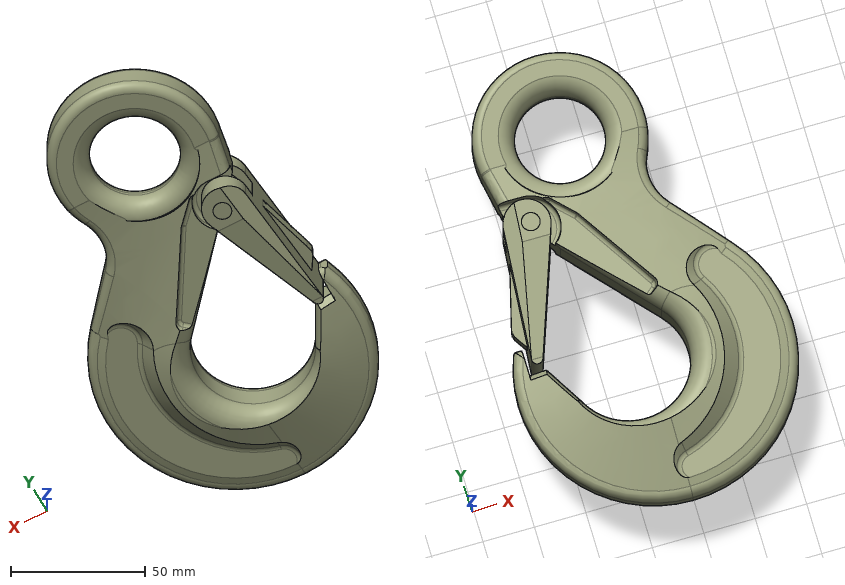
import cadquery as cq
import math


EYE = (0, 90.3)
EYE_RADIUS = 32.9
EYE_HOLE_RADIUS = 34.0 / 2
EYE_HALF_THICKNESS = 8.0
NECK_TOP_Y = 85.0
NECK_HALF_WIDTH = 43.2
EYE_HOLE_ROUNDING = 7.2
EYE_HOLE_STRAIGHT = 0.81
BOWL_RADIUS = 23.4
LOWEST_Y = -56.6
CROWN_X = 8.6
RIGHT_RADIUS = 54.94
LEFT_RADIUS = 52.42
BACK = (CROWN_X, LOWEST_Y + RIGHT_RADIUS)
FRONT = (CROWN_X, LOWEST_Y + LEFT_RADIUS)
WAIST = (47.1, 67.5)
THROAT_ANGLE = 41.5
THROAT_LENGTH = 54
POINT_ANGLE = 209
POINT_LENGTH = 54

MAX_HALF_THICKNESS = 13.3
RIM_HALF_THICKNESS = 5.4
WEDGE_SLOPE = 0.29
RIM_ROUNDING = 3.6
INSIDE_ROUNDING = 8.1
NECK_INNER_REACH = 14.4
NECK_OUTER_REACH = 61.1

TIP_TOP = 15.8
TIP_X = -37.8
TIP_ROUNDING = 3.6
POINT_TILT = 9
NOTCH_X = -36.9
NOTCH_Y = 5.2
NOTCH_CHAMFER = 2.3

PIVOT = (-20.3, 59.7)
PIN_RADIUS = 7.0 / 2
KNUCKLE_RADIUS = 7.0
KNUCKLE_HALF_THICKNESS = 3.8
CLEARANCE_RADIUS = 11.3

RECESS_TOP = (-12.5, 68.7)
RECESS_CORNER = (-2.9, 58.6)
RECESS_FOOT = (18.3, 24.3)
RECESS_OVERRUN = 14.4
RECESS_FLOOR = 7.0
RECESS_TILT = 3.0
RECESS_WALL_ANGLE = 20
RECESS_CORNER_RADIUS = 2.2
RECESS_ROUNDING = 1.6

POCKET_FLOOR = 6.3
POCKET_INNER_RADIUS = 42.0
POCKET_OUTER_RADIUS = 50.7
POCKET_WALL_ANGLE = 45
POCKET_START = -75
POCKET_END = 32.5
POCKET_ROUNDING = 2.7
POCKET_OVERRUN = 0.9

HALF_HEIGHT = 14.0
LATCH_HEAD = (-21.8, 59.9)
LATCH_HEAD_RADIUS = 9.0
LATCH_TIP = (-32.7, 9.0)
LATCH_TIP_RADIUS = 2.2
LATCH_BEND_Y = 53.0
LATCH_TIP_HALF_HEIGHT = 11.3
LATCH_SIDE_HALF_HEIGHT = 11.3
LATCH_BEVEL_WIDTH = 5.8
LATCH_SLOT_HALF_WIDTH = 4.7
FIN_HALF_WIDTH = 2.43
FIN_OUTLINE = [(-30.5, 53.0), (-37.8, 26.0), (-38.3, 23.4), (-37.8, 21.5), (-34.5, 16.5), (-28.8, 16.5)]

BIG = 143.9


def polar(centre, radius, angle):
    a = math.radians(angle)
    return (centre[0] + radius * math.cos(a), centre[1] + radius * math.sin(a))


def direction(start, end):
    return math.degrees(math.atan2(end[1] - start[1], end[0] - start[0]))


def prism(outline, half_height):
    return outline.extrude(half_height, both=True)


def both_faces(cutter):
    return cutter.union(cutter.mirror("XY"))


WAIST_RADIUS = math.dist(EYE, WAIST) - EYE_RADIUS
BACK_ANGLE = direction(BACK, WAIST) - math.degrees(
    math.acos((RIGHT_RADIUS + WAIST_RADIUS) / math.dist(BACK, WAIST))
)
BACK_END = polar(BACK, RIGHT_RADIUS, BACK_ANGLE)
WAIST_START = polar(WAIST, WAIST_RADIUS, BACK_ANGLE + 180)
WAIST_END = polar(EYE, EYE_RADIUS, direction(EYE, WAIST))
WAIST_MIDDLE = polar(WAIST, WAIST_RADIUS, (direction(WAIST, EYE) + BACK_ANGLE + 180) / 2)
KNUCKLE_ANGLE = direction(EYE, PIVOT) - math.degrees(
    math.acos((EYE_RADIUS - KNUCKLE_RADIUS) / math.dist(EYE, PIVOT))
)
EYE_LEFT = polar(EYE, EYE_RADIUS, KNUCKLE_ANGLE)
KNUCKLE_LEFT = polar(PIVOT, KNUCKLE_RADIUS, KNUCKLE_ANGLE)
THROAT_END = polar((0, 0), BOWL_RADIUS, THROAT_ANGLE)
THROAT_START = polar(THROAT_END, THROAT_LENGTH, THROAT_ANGLE + 90)


def wedge_disc(centre, radius):
    """Disc that thickens from its rounded rim towards the middle, up to the full thickness."""
    crest = radius - RIM_ROUNDING - (MAX_HALF_THICKNESS - RIM_HALF_THICKNESS) / WEDGE_SLOPE
    shoulder = RIM_HALF_THICKNESS - RIM_ROUNDING
    half = (
        cq.Workplane("XZ")
        .lineTo(radius, 0)
        .lineTo(radius, shoulder)
        .radiusArc((radius - RIM_ROUNDING, RIM_HALF_THICKNESS), -RIM_ROUNDING)
        .lineTo(crest, MAX_HALF_THICKNESS)
        .lineTo(0, MAX_HALF_THICKNESS)
        .close()
        .revolve(360, (0, 0), (0, 1))
    )
    return both_faces(half).translate((*centre, 0))


def hook_ring():
    right_side = cq.Workplane().box(BIG, 2 * BIG, BIG, centered=(False, True, True))
    right_side = right_side.translate((CROWN_X, 0, 0))
    back = wedge_disc(BACK, RIGHT_RADIUS).intersect(right_side)
    front = wedge_disc(FRONT, LEFT_RADIUS).cut(right_side)
    return back.union(front)


def shank():
    """Flat eye and the twisted neck from it to the sloping back of the hook."""
    inner = polar(BACK, NECK_INNER_REACH, BACK_ANGLE)
    outer = polar(BACK, NECK_OUTER_REACH, BACK_ANGLE)
    wedge_edge = RIGHT_RADIUS - RIM_ROUNDING

    def section(left, right, left_z, right_z):
        points = [(*left, -left_z), (*right, -right_z), (*right, right_z), (*left, left_z)]
        return cq.Wire.makePolygon([cq.Vector(*p) for p in points], close=True)

    def wedge_height(distance):
        return RIM_HALF_THICKNESS + WEDGE_SLOPE * (wedge_edge - distance)

    eye_section = section(
        (-NECK_HALF_WIDTH, NECK_TOP_Y),
        (NECK_HALF_WIDTH, NECK_TOP_Y),
        EYE_HALF_THICKNESS,
        EYE_HALF_THICKNESS,
    )
    back_section = section(
        inner, outer, wedge_height(NECK_INNER_REACH), wedge_height(NECK_OUTER_REACH)
    )
    wedge = cq.Workplane(cq.Solid.makeLoft([eye_section, back_section], True))
    slab = cq.Workplane().box(BIG, BIG, 2 * EYE_HALF_THICKNESS, centered=(True, False, True))
    envelope = wedge.union(slab.translate((0, NECK_TOP_Y, 0)))
    outline = (
        cq.Workplane()
        .moveTo(*inner)
        .lineTo(*BACK_END)
        .lineTo(*WAIST_START)
        .threePointArc(WAIST_MIDDLE, WAIST_END)
        .threePointArc((EYE[0], EYE[1] + EYE_RADIUS), EYE_LEFT)
        .lineTo(*KNUCKLE_LEFT)
        .lineTo(*PIVOT)
        .close()
    )
    body = prism(outline, MAX_HALF_THICKNESS).intersect(envelope)
    around_eye = cq.selectors.BoxSelector((-BIG, 73.7, -BIG), (BIG, BIG, BIG))
    right_of_neck = cq.selectors.BoxSelector((27.9, 41.4, -BIG), (BIG, BIG, BIG))
    rim = body.edges("not |Z").edges(around_eye + right_of_neck).edges("not |X")
    return rim.fillet(RIM_ROUNDING)


def eye_hole():
    """Hole with a round bell mouth on both faces."""
    mouth = EYE_HOLE_RADIUS + EYE_HOLE_ROUNDING
    half = (
        cq.Workplane("XZ")
        .lineTo(EYE_HOLE_RADIUS, 0)
        .lineTo(EYE_HOLE_RADIUS, EYE_HOLE_STRAIGHT)
        .radiusArc((mouth, EYE_HOLE_STRAIGHT + EYE_HOLE_ROUNDING), EYE_HOLE_ROUNDING)
        .lineTo(mouth, BIG)
        .lineTo(0, BIG)
        .close()
        .revolve(360, (0, 0), (0, 1))
    )
    return both_faces(half).translate((*EYE, 0))


def opening_section():
    """Half section of the hook opening, from its centre out to the rounded edge of the metal."""
    straight = MAX_HALF_THICKNESS - INSIDE_ROUNDING
    mouth = BOWL_RADIUS + INSIDE_ROUNDING
    return (
        cq.Workplane("XZ")
        .lineTo(BOWL_RADIUS, 0)
        .lineTo(BOWL_RADIUS, straight)
        .radiusArc((mouth, MAX_HALF_THICKNESS), INSIDE_ROUNDING)
        .lineTo(mouth, BIG)
        .lineTo(0, BIG)
        .close()
    )


def hook_opening():
    """Round bowl with a straight run along the neck and another along the point."""
    bowl = opening_section().revolve(360, (0, 0), (0, 1))
    neck_run = opening_section().extrude(-THROAT_LENGTH)
    neck_run = neck_run.rotate((0, 0, 0), (0, 0, 1), THROAT_ANGLE)
    point_run = opening_section().extrude(POINT_LENGTH).rotate((0, 0, 0), (1, 0, 0), POINT_TILT)
    point_run = point_run.rotate((0, 0, 0), (0, 0, 1), POINT_ANGLE)
    return both_faces(bowl.union(neck_run).union(point_run))


def gate():
    """Everything between the point and the neck, with the notch for the latch tip."""
    outline = (
        cq.Workplane()
        .moveTo(NOTCH_X, NOTCH_Y)
        .lineTo(0, NOTCH_Y)
        .lineTo(*THROAT_END)
        .lineTo(*THROAT_START)
        .lineTo(-BIG, THROAT_START[1])
        .lineTo(-BIG, TIP_TOP - TIP_ROUNDING)
        .lineTo(TIP_X - TIP_ROUNDING, TIP_TOP - TIP_ROUNDING)
        .radiusArc((TIP_X, TIP_TOP), TIP_ROUNDING)
        .lineTo(NOTCH_X, TIP_TOP)
        .close()
    )
    return prism(outline, BIG)


def tip_corner():
    """Material above the rounded end of the point, on both faces."""
    start = TIP_TOP - TIP_ROUNDING
    half = (
        cq.Workplane("YZ")
        .moveTo(start, BIG)
        .lineTo(start, RIM_HALF_THICKNESS)
        .radiusArc((TIP_TOP, RIM_HALF_THICKNESS - TIP_ROUNDING), TIP_ROUNDING)
        .lineTo(TIP_TOP, BIG)
        .close()
        .extrude(-BIG)
    )
    return both_faces(half.translate((NOTCH_X, 0, 0)))


def knuckle():
    """Thin round lug that carries the pin."""
    lug = cq.Workplane().center(*PIVOT).circle(KNUCKLE_RADIUS)
    return prism(lug, KNUCKLE_HALF_THICKNESS)


def latch_recess():
    """Sunk floor beside the throat, and a deeper round clearance about the pivot."""
    outside = polar(RECESS_FOOT, RECESS_OVERRUN, THROAT_ANGLE + 180)
    outline = cq.Sketch().polygon([PIVOT, RECESS_TOP, RECESS_CORNER, RECESS_FOOT, outside, PIVOT])
    outline = outline.vertices().fillet(RECESS_CORNER_RADIUS)
    floor = (
        cq.Workplane(origin=(0, 0, RECESS_FLOOR))
        .placeSketch(outline)
        .extrude(HALF_HEIGHT, taper=-RECESS_WALL_ANGLE)
    )
    floor = floor.faces("<Z").edges().fillet(RECESS_ROUNDING)
    tilt_axis_end = polar(PIVOT, 1.8, THROAT_ANGLE)
    floor = floor.rotate((*PIVOT, RECESS_FLOOR), (*tilt_axis_end, RECESS_FLOOR), -RECESS_TILT)

    clearance = (
        cq.Workplane(origin=(*PIVOT, KNUCKLE_HALF_THICKNESS))
        .circle(CLEARANCE_RADIUS)
        .extrude(HALF_HEIGHT)
    )
    left_of_pivot = cq.Workplane().box(BIG, BIG, BIG, centered=(False, True, True))
    left_of_pivot = left_of_pivot.translate((PIVOT[0] - BIG, PIVOT[1], 0))
    side = (
        cq.Workplane(origin=(*PIVOT, KNUCKLE_HALF_THICKNESS))
        .rect(2 * BIG, 2 * CLEARANCE_RADIUS)
        .extrude(HALF_HEIGHT)
        .intersect(left_of_pivot)
    )
    clearance = clearance.union(side).faces("<Z").edges().fillet(RECESS_ROUNDING)
    return both_faces(floor.union(clearance))


def pocket():
    """Crescent dish between an arc about the bowl and an arc about the back, with sloping walls."""

    def lobe_centre(angle):
        reach = POCKET_INNER_RADIUS + POCKET_OUTER_RADIUS
        along = BACK[0] * math.cos(math.radians(angle)) + BACK[1] * math.sin(math.radians(angle))
        distance = (reach**2 - BACK[0] ** 2 - BACK[1] ** 2) / (2 * (reach - along))
        return polar((0, 0), distance, angle)

    first = lobe_centre(POCKET_START)
    last = lobe_centre(POCKET_END)
    first_out = direction(BACK, first)
    last_out = direction(BACK, last)
    first_radius = POCKET_OUTER_RADIUS - math.dist(BACK, first)
    last_radius = POCKET_OUTER_RADIUS - math.dist(BACK, last)
    floor = (
        cq.Workplane(origin=(0, 0, POCKET_FLOOR))
        .moveTo(*polar((0, 0), POCKET_INNER_RADIUS, POCKET_START))
        .threePointArc(
            polar((0, 0), POCKET_INNER_RADIUS, (POCKET_START + POCKET_END) / 2),
            polar((0, 0), POCKET_INNER_RADIUS, POCKET_END),
        )
        .threePointArc(
            polar(last, last_radius, (POCKET_END + last_out) / 2 + 90),
            polar(BACK, POCKET_OUTER_RADIUS, last_out),
        )
        .threePointArc(
            polar(BACK, POCKET_OUTER_RADIUS, (first_out + last_out) / 2),
            polar(BACK, POCKET_OUTER_RADIUS, first_out),
        )
        .threePointArc(
            polar(first, first_radius, (POCKET_START + first_out) / 2 - 90),
            polar((0, 0), POCKET_INNER_RADIUS, POCKET_START),
        )
        .close()
    )
    depth = MAX_HALF_THICKNESS - POCKET_FLOOR + POCKET_OVERRUN
    dish = floor.extrude(depth, taper=-POCKET_WALL_ANGLE)
    return both_faces(dish.faces("<Z").edges().fillet(POCKET_ROUNDING))


def pin():
    return prism(cq.Workplane().center(*PIVOT).circle(PIN_RADIUS), HALF_HEIGHT)


def hook():
    body = hook_ring().union(shank())
    body = body.cut(eye_hole()).cut(hook_opening()).cut(gate())
    for z in (-RIM_HALF_THICKNESS, RIM_HALF_THICKNESS):
        notch_edge = cq.selectors.NearestToPointSelector((LATCH_TIP[0], NOTCH_Y, z))
        body = body.edges("not |Z").edges(notch_edge).chamfer(NOTCH_CHAMFER)
    body = body.cut(tip_corner())
    body = body.cut(latch_recess()).union(knuckle()).cut(pocket())
    return body.cut(pin())


def latch():
    """Tapering blade, bevelled on its left, with a slot for the knuckle and a fin on its left side."""
    head_to_tip = direction(LATCH_HEAD, LATCH_TIP)
    spread = math.degrees(
        math.acos((LATCH_HEAD_RADIUS - LATCH_TIP_RADIUS) / math.dist(LATCH_HEAD, LATCH_TIP))
    )
    left = head_to_tip - spread
    right = head_to_tip + spread
    head_left = polar(LATCH_HEAD, LATCH_HEAD_RADIUS, left)
    outline = (
        cq.Workplane()
        .moveTo(*polar(LATCH_HEAD, LATCH_HEAD_RADIUS, right))
        .threePointArc(polar(LATCH_HEAD, LATCH_HEAD_RADIUS, head_to_tip + 180), head_left)
        .lineTo(*polar(LATCH_TIP, LATCH_TIP_RADIUS, left))
        .threePointArc(
            polar(LATCH_TIP, LATCH_TIP_RADIUS, head_to_tip),
            polar(LATCH_TIP, LATCH_TIP_RADIUS, right),
        )
        .close()
    )
    side_profile = (
        cq.Workplane("YZ")
        .moveTo(BIG, -HALF_HEIGHT)
        .lineTo(BIG, HALF_HEIGHT)
        .lineTo(LATCH_BEND_Y, HALF_HEIGHT)
        .lineTo(LATCH_TIP[1], LATCH_TIP_HALF_HEIGHT)
        .lineTo(0, LATCH_TIP_HALF_HEIGHT)
        .lineTo(0, -LATCH_TIP_HALF_HEIGHT)
        .lineTo(LATCH_TIP[1], -LATCH_TIP_HALF_HEIGHT)
        .lineTo(LATCH_BEND_Y, -HALF_HEIGHT)
        .close()
    )
    blade = prism(outline, HALF_HEIGHT).intersect(prism(side_profile, BIG))

    across = cq.Plane(
        (*head_left, 0),
        xDir=(*polar((0, 0), 1, left + 180), 0),
        normal=(*polar((0, 0), 1, left + 90), 0),
    )
    bevel = (
        cq.Workplane(across)
        .moveTo(0, LATCH_SIDE_HALF_HEIGHT)
        .lineTo(LATCH_BEVEL_WIDTH, HALF_HEIGHT)
        .lineTo(0, HALF_HEIGHT)
        .close()
        .extrude(2 * BIG, both=True)
    )
    blade = blade.cut(both_faces(bevel))

    fin = prism(cq.Workplane().polyline(FIN_OUTLINE).close(), FIN_HALF_WIDTH)
    slot = prism(cq.Workplane().center(*PIVOT).circle(CLEARANCE_RADIUS), LATCH_SLOT_HALF_WIDTH)
    return blade.union(fin).cut(slot).cut(pin())


result = cq.Compound.makeCompound(
    [hook().solids().val(), latch().solids().val(), pin().solids().val()]
)